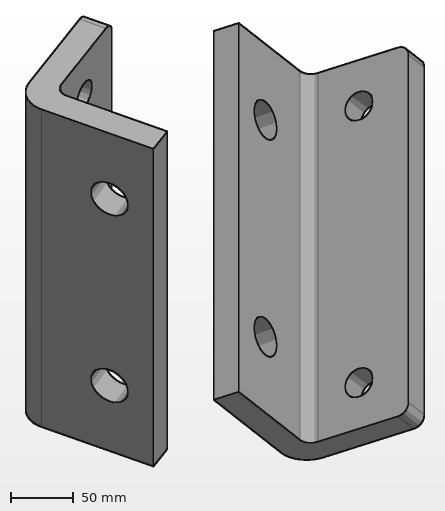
import cadquery as cq

width = 125.0
depth = 120.0
height = 340.0
thickness = 23.8

outer_bend_radius = 23.8
inner_bend_radius = 10.2

corner_radius = 10.0

front_hole_diameter = 33.3
front_hole_x = 85.5
front_hole_end_distance = 70.0
side_hole_diameter = 26.0
side_hole_edge_distance = 47.0
side_hole_end_distance = 42.5


def angle_plate():
    """L-shaped section with a rounded bend, extruded along Z."""
    section = [
        (0, 0),
        (width, 0),
        (width, thickness),
        (thickness, thickness),
        (thickness, depth),
        (0, depth),
    ]
    plate = cq.Workplane("XY").polyline(section).close().extrude(height)
    plate = plate.edges(cq.selectors.NearestToPointSelector((0, 0, height / 2))).fillet(outer_bend_radius)
    inner_corner = (thickness, thickness, height / 2)
    plate = plate.edges(cq.selectors.NearestToPointSelector(inner_corner)).fillet(inner_bend_radius)
    return plate.faces(">Y").edges("|X").fillet(corner_radius)


def hole_pair(plane, position, diameter, end_distance, length):
    """Two cylinders at equal distances from the bottom and top ends."""
    centers = [(position, end_distance), (position, height - end_distance)]
    return cq.Workplane(plane).pushPoints(centers).circle(diameter / 2).extrude(length)


front_holes = hole_pair("XZ", front_hole_x, front_hole_diameter, front_hole_end_distance, -thickness)
side_hole_y = depth - side_hole_edge_distance
side_holes = hole_pair("YZ", side_hole_y, side_hole_diameter, side_hole_end_distance, thickness)

result = angle_plate().cut(front_holes).cut(side_holes)